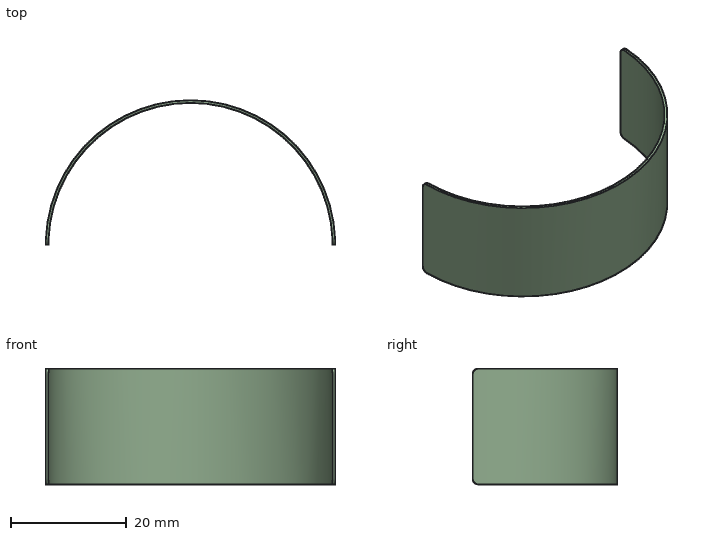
import cadquery as cq

outer_radius = 25.0
wall = 0.5
height = 20.0
corner_radius = 1.0

inner_radius = outer_radius - wall


def half_ring():
    """Half of a thin tube, on the +Y side, with its ends on the XZ plane."""
    return (
        cq.Workplane("XY")
        .moveTo(-outer_radius, 0)
        .threePointArc((0, outer_radius), (outer_radius, 0))
        .lineTo(inner_radius, 0)
        .threePointArc((0, inner_radius), (-inner_radius, 0))
        .close()
        .extrude(height)
    )


def round_end_corners(band):
    """Round the top and bottom corners of both free ends, across the wall."""
    return band.faces("<Y").edges("|X").fillet(corner_radius)


result = round_end_corners(half_ring())